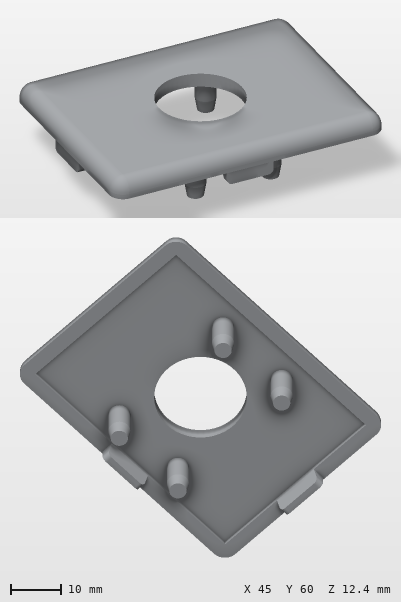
import cadquery as cq

width = 45.0
length = 60.0
plate_thickness = 4.0
edge_radius = 3.0
window_diameter = 18.35

rim_width = 3.0
recess_depth = 1.0

peg_diameter = 4.4
peg_tip_diameter = 3.4
peg_length = 8.45
peg_straight_length = 5.65
peg_spacing_x = 28.7
peg_spacing_y = 16.7

tab_width = 10.2
tab_depth = 3.0
tab_edge_inset = 0.35
tab_root_thickness = rim_width - tab_edge_inset
tab_tip_thickness = 1.5
tab_corner_radius = 1.1


def make_plate():
    plate = cq.Workplane("XY").box(width, length, plate_thickness, centered=(True, True, False))
    plate = plate.edges("|Z").fillet(edge_radius)
    plate = plate.faces(">Z").edges().fillet(edge_radius)
    window = cq.Workplane("XY").circle(window_diameter / 2).extrude(plate_thickness)
    recess = (
        cq.Workplane("XY")
        .rect(width - 2 * rim_width, length - 2 * rim_width)
        .extrude(recess_depth)
    )
    return plate.cut(window).cut(recess)


def make_peg():
    """Peg hanging from the recess roof, revolved about its own axis."""
    return (
        cq.Workplane("XZ")
        .moveTo(0, recess_depth)
        .lineTo(peg_diameter / 2, recess_depth)
        .lineTo(peg_diameter / 2, -peg_straight_length)
        .lineTo(peg_tip_diameter / 2, -peg_length)
        .lineTo(0, -peg_length)
        .close()
        .revolve(360, (0, 0, 0), (0, 1, 0))
    )


def make_tab(edge_distance):
    """Tab near the +X edge, tapering on its inner face."""
    outer = edge_distance - tab_edge_inset
    tab = (
        cq.Workplane("XZ")
        .moveTo(outer, 0)
        .lineTo(outer, -tab_depth)
        .lineTo(outer - tab_tip_thickness, -tab_depth)
        .lineTo(outer - tab_root_thickness, 0)
        .close()
        .extrude(tab_width / 2, both=True)
    )
    return tab.faces("<Z").edges("|X").fillet(tab_corner_radius)


result = make_plate()
for side_x in (-1, 1):
    for side_y in (-1, 1):
        peg_position = (side_x * peg_spacing_x / 2, side_y * peg_spacing_y / 2, 0)
        result = result.union(make_peg().translate(peg_position))

result = result.union(make_tab(width / 2))
result = result.union(make_tab(length / 2).rotate((0, 0, 0), (0, 0, 1), -90))